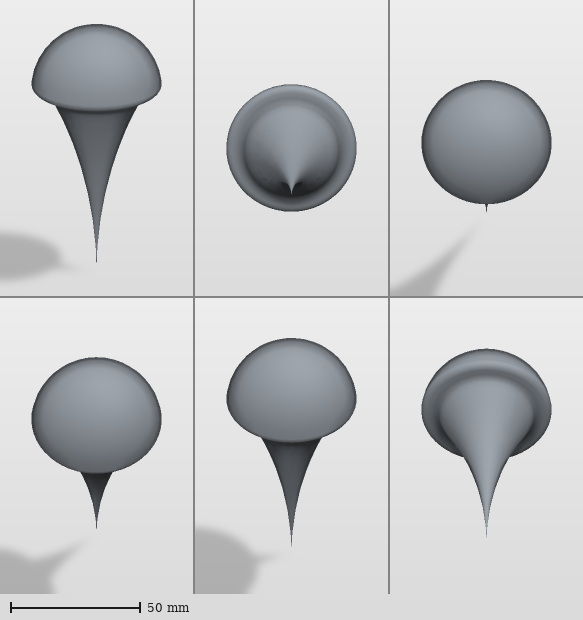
import cadquery as cq
import math

dome_radius = 25.4
stem_length = 76.2
stem_top_radius = 19.05
edge_fillet = 2.54

stem_arc_radius = (stem_length ** 2 + stem_top_radius ** 2) / (2 * stem_top_radius)
stem_arc_angle = math.asin(stem_length / stem_arc_radius)


def dome_arc_point(angle):
    """Point on the dome's outline at an angle above its underside, on the -X side."""
    return (-dome_radius * math.cos(angle), dome_radius * math.sin(angle))


def stem_arc_point(angle):
    """Point on the stem's outline at an arc angle from the tip, on the -X side."""
    return (
        -stem_arc_radius * (1 - math.cos(angle)),
        -stem_length + stem_arc_radius * math.sin(angle),
    )


def make_half_section():
    """Half section of the dome and flared stem, with its rim and neck corners rounded."""
    neck_corner = stem_arc_point(stem_arc_angle)
    rim_corner = dome_arc_point(0)
    outline = (
        cq.Sketch()
        .arc(stem_arc_point(0), stem_arc_point(stem_arc_angle / 2), neck_corner)
        .segment(neck_corner, rim_corner)
        .arc(rim_corner, dome_arc_point(math.pi / 4), dome_arc_point(math.pi / 2))
        .close()
        .assemble()
    )
    return outline.vertices("not >X").fillet(edge_fillet)


result = (
    cq.Workplane("XZ")
    .placeSketch(make_half_section())
    .revolve(360, (0, 0, 0), (0, 1, 0))
    .solids()
)